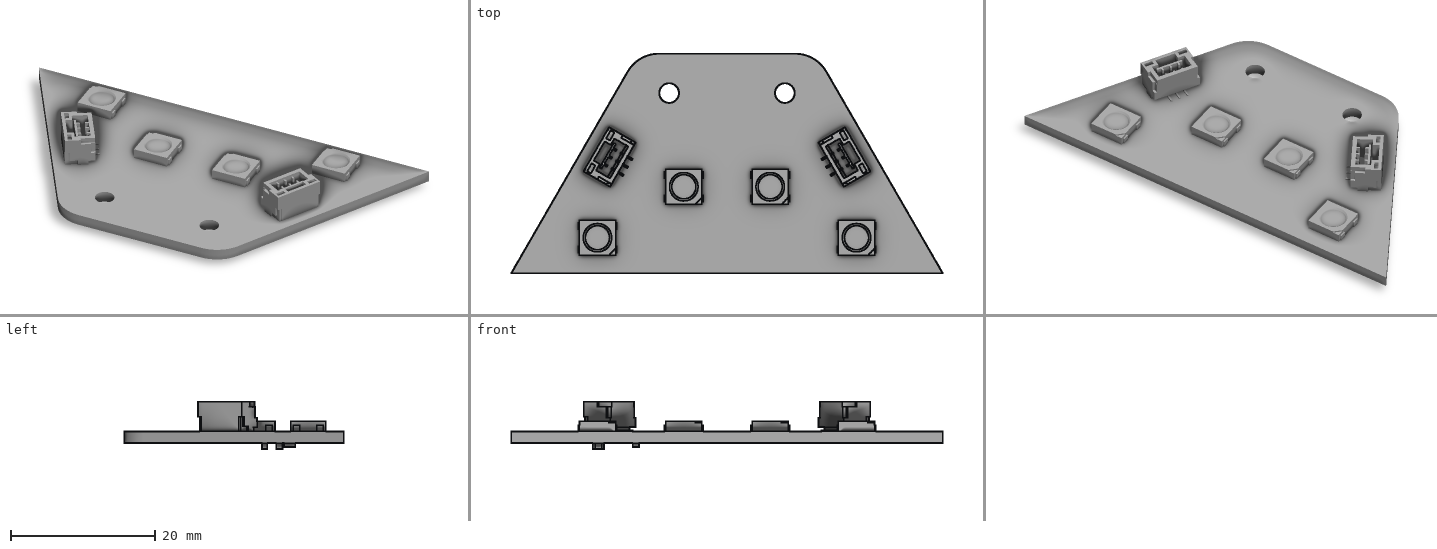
import cadquery as cq
import math

BOARD_WIDTH = 59.8
BOARD_DEPTH = 30.45
BOARD_THICKNESS = 1.6
BOARD_SIDE_ANGLE = 60.0
BOARD_CORNER_RADIUS = 5.0
BOARD_HOLE_DIAMETER = 2.7
BOARD_HOLE_X = 8.0
BOARD_HOLE_Y = 9.75

LED_LENGTH = 5.0
LED_WIDTH = 4.9
LED_HEIGHT = 1.45
LED_WINDOW_TOP_DIAMETER = 3.95
LED_WINDOW_FLOOR_DIAMETER = 3.35
LED_WINDOW_DEPTH = 0.25
LED_MARK_LEG = 0.95
LED_MARK_DEPTH = 0.21
LED_LEAD_SPAN = 5.4
LED_LEAD_WIDTH = 0.9
LED_LEAD_HEIGHT = 0.9
LED_LEAD_Y = 1.6
LED_OUTER_X = 17.95
LED_OUTER_Y = -10.3
LED_INNER_X = 6.0
LED_INNER_Y = -3.2
LED_PLACES = [
    (-LED_OUTER_X, LED_OUTER_Y),
    (-LED_INNER_X, LED_INNER_Y),
    (LED_INNER_X, LED_INNER_Y),
    (LED_OUTER_X, LED_OUTER_Y),
]

CONN_LENGTH = 7.05
CONN_DEPTH = 4.25
CONN_HEIGHT = 4.1
CONN_X = 16.25
CONN_Y = 0.9
CONN_FRONT = -CONN_DEPTH / 2
CONN_BACK = CONN_DEPTH / 2

FRONT_RELIEF_DEPTH = 0.95
FRONT_RELIEF_HEIGHT = 0.6

END_STEP_INSET = 0.4
END_STEP_LENGTH = 2.05
END_STEP_DROP = 0.7
CORNER_INSET = 0.35
CORNER_LENGTH = 0.6
CORNER_DROP = 2.2

TAB_RECESS_INSET = 0.55
TAB_INSET = 0.25
TAB_BACK_GAP = 0.05
TAB_POST_LENGTH = 0.65
TAB_POST_HEIGHT = 2.05
TAB_FOOT_LENGTH = 1.8
TAB_FOOT_HEIGHT = 0.7

CAVITY_FLOOR = 0.7
CAVITY_FRONT_WALL = 0.6
CAVITY_BACK_WALL = 0.5
CAVITY_WIDE_LENGTH = 5.1
CAVITY_WIDE_DEPTH = 2.2
CAVITY_NARROW_LENGTH = 3.05

TOP_POCKET_LENGTH = 1.25
TOP_POCKET_DEPTH = 0.6
TOP_POCKET_DROP = 0.6
TOP_POCKET_X = 2.65
TOP_POCKET_BACK_WALL = 0.4

CONTACT_PITCH = 1.25
CONTACT_WIDTH = 0.25
CONTACT_TOP = 3.75
RIB_LENGTH = 3.95
RIB_THICKNESS = 0.3
RIB_Y = 0.3
POST_DEPTH = 0.5
FRONT_POST_DEPTH = 0.5
LEAD_REACH = 0.8
LEAD_THICKNESS = 0.2

LONG_CHIP_SIZE = (1.6, 0.8, 0.85)
LONG_CHIP_PLACE = (-17.8, -4.25)
SHORT_CHIP_SIZE = (0.9, 0.9, 0.85)
SHORT_CHIP_PLACE = (-17.8, -6.3)
FLAT_CHIP_SIZE = (0.9, 1.55, 0.55)
FLAT_CHIP_PLACE = (-12.6, -7.7)


def block(x_min, x_max, y_min, y_max, z_min, z_max):
    """Box given by its limits along each axis."""
    size = (x_max - x_min, y_max - y_min, z_max - z_min)
    return cq.Workplane("XY").box(*size, centered=False).translate((x_min, y_min, z_min))


def both_ends(shape):
    """The shape together with its mirror image across the YZ plane."""
    return shape.union(shape.mirror("YZ"))


def make_board():
    """Trapezoidal board with rounded back corners and two mounting holes."""
    side_run = BOARD_DEPTH / math.tan(math.radians(BOARD_SIDE_ANGLE))
    front_x = BOARD_WIDTH / 2
    back_x = front_x - side_run
    half_depth = BOARD_DEPTH / 2
    outline = [
        (-front_x, -half_depth),
        (front_x, -half_depth),
        (back_x, half_depth),
        (-back_x, half_depth),
    ]
    board = cq.Workplane("XY").polyline(outline).close().extrude(BOARD_THICKNESS)
    board = board.edges("|Z and >Y").fillet(BOARD_CORNER_RADIUS)
    return (
        board.faces(">Z").workplane(origin=(0, 0, 0))
        .pushPoints([(-BOARD_HOLE_X, BOARD_HOLE_Y), (BOARD_HOLE_X, BOARD_HOLE_Y)])
        .hole(BOARD_HOLE_DIAMETER)
    )


def make_led(x, y):
    """LED package with a conical window, a corner mark and four side leads."""
    half_length = LED_LENGTH / 2
    half_width = LED_WIDTH / 2
    led = block(-half_length, half_length, -half_width, half_width, 0, LED_HEIGHT)

    window = (
        cq.Workplane("XY", origin=(0, 0, LED_HEIGHT - LED_WINDOW_DEPTH))
        .circle(LED_WINDOW_FLOOR_DIAMETER / 2)
        .workplane(offset=LED_WINDOW_DEPTH)
        .circle(LED_WINDOW_TOP_DIAMETER / 2)
        .loft()
    )
    corner_mark = (
        cq.Workplane("XY", origin=(half_length, -half_width, LED_HEIGHT - LED_MARK_DEPTH))
        .polyline([(0, 0), (0, LED_MARK_LEG), (-LED_MARK_LEG, 0)])
        .close()
        .extrude(LED_MARK_DEPTH)
    )
    led = led.cut(window).cut(corner_mark)

    for lead_y in (-LED_LEAD_Y, LED_LEAD_Y):
        lead = block(
            half_length, LED_LEAD_SPAN / 2,
            lead_y - LED_LEAD_WIDTH / 2, lead_y + LED_LEAD_WIDTH / 2,
            0, LED_LEAD_HEIGHT,
        )
        led = led.union(both_ends(lead))
    return led.translate((x, y, BOARD_THICKNESS))


def connector_shell():
    """Connector block with all its outside recesses."""
    end = CONN_LENGTH / 2
    shell = block(-end, end, CONN_FRONT, CONN_BACK, 0, CONN_HEIGHT)

    front_relief = block(
        -end, end, CONN_FRONT, CONN_FRONT + FRONT_RELIEF_DEPTH, 0, FRONT_RELIEF_HEIGHT
    )
    end_step = block(
        end - END_STEP_INSET, end,
        CONN_FRONT, CONN_FRONT + END_STEP_LENGTH,
        CONN_HEIGHT - END_STEP_DROP, CONN_HEIGHT,
    )
    corner_step = block(
        end - CORNER_INSET, end,
        CONN_FRONT, CONN_FRONT + CORNER_LENGTH,
        CONN_HEIGHT - CORNER_DROP, CONN_HEIGHT,
    )
    top_pocket = block(
        TOP_POCKET_X - TOP_POCKET_LENGTH / 2, TOP_POCKET_X + TOP_POCKET_LENGTH / 2,
        CONN_BACK - TOP_POCKET_BACK_WALL - TOP_POCKET_DEPTH, CONN_BACK - TOP_POCKET_BACK_WALL,
        CONN_HEIGHT - TOP_POCKET_DROP, CONN_HEIGHT,
    )
    shell = shell.cut(front_relief)
    for recess in (end_step, corner_step, top_pocket, tab_profile(TAB_RECESS_INSET, 0, 0)):
        shell = shell.cut(both_ends(recess))
    return shell.union(both_ends(tab_profile(TAB_RECESS_INSET, TAB_INSET, TAB_BACK_GAP)))


def tab_profile(inner_inset, outer_inset, back_gap):
    """L-shaped plate at the +X end: a post at the back and a low foot, between two insets."""
    end = CONN_LENGTH / 2
    x_limits = (end - inner_inset, end - outer_inset)
    y_back = CONN_BACK - back_gap
    post = block(*x_limits, CONN_BACK - TAB_POST_LENGTH, y_back, 0, TAB_POST_HEIGHT)
    foot = block(*x_limits, CONN_BACK - TAB_FOOT_LENGTH, y_back, 0, TAB_FOOT_HEIGHT)
    return post.union(foot)


def connector_cavity():
    """Stepped mating cavity open at the top."""
    wide_front = CONN_FRONT + CAVITY_FRONT_WALL
    wide_back = wide_front + CAVITY_WIDE_DEPTH
    wide = block(
        -CAVITY_WIDE_LENGTH / 2, CAVITY_WIDE_LENGTH / 2,
        wide_front, wide_back, CAVITY_FLOOR, CONN_HEIGHT,
    )
    narrow = block(
        -CAVITY_NARROW_LENGTH / 2, CAVITY_NARROW_LENGTH / 2,
        wide_back, CONN_BACK - CAVITY_BACK_WALL, CAVITY_FLOOR, CONN_HEIGHT,
    )
    return wide.union(narrow)


def connector_contacts():
    """Rib with contact posts, posts at the front wall, and the leads on the board."""
    contacts = block(
        -RIB_LENGTH / 2, RIB_LENGTH / 2,
        RIB_Y - RIB_THICKNESS / 2, RIB_Y + RIB_THICKNESS / 2,
        CAVITY_FLOOR, CONTACT_TOP,
    )
    post_back = RIB_Y - RIB_THICKNESS / 2
    front_wall = CONN_FRONT + CAVITY_FRONT_WALL
    for index in (-1, 0, 1):
        left = index * CONTACT_PITCH - CONTACT_WIDTH / 2
        right = left + CONTACT_WIDTH
        post = block(left, right, post_back - POST_DEPTH, post_back, CAVITY_FLOOR, CONTACT_TOP)
        front_post = block(
            left, right, front_wall, front_wall + FRONT_POST_DEPTH, CAVITY_FLOOR, CONTACT_TOP
        )
        lead = block(
            left, right, CONN_FRONT - LEAD_REACH, CONN_FRONT + FRONT_RELIEF_DEPTH, 0, LEAD_THICKNESS
        )
        contacts = contacts.union(post).union(front_post).union(lead)
    return contacts


def make_connector(side):
    """Connector along the left (side = -1) or right (side = 1) edge of the board."""
    connector = connector_shell().cut(connector_cavity()).union(connector_contacts())
    turned = connector.rotate((0, 0, 0), (0, 0, 1), -side * BOARD_SIDE_ANGLE)
    return turned.translate((side * CONN_X, CONN_Y, BOARD_THICKNESS))


def make_chip(size, place):
    """Plain block hanging below the board."""
    return cq.Workplane("XY").box(*size, centered=(True, True, False)).translate((*place, -size[2]))


board = make_board()
leds = [make_led(x, y) for x, y in LED_PLACES]
connectors = [make_connector(side) for side in (-1, 1)]
long_chip = make_chip(LONG_CHIP_SIZE, LONG_CHIP_PLACE)
short_chip = make_chip(SHORT_CHIP_SIZE, SHORT_CHIP_PLACE)
flat_chip = make_chip(FLAT_CHIP_SIZE, FLAT_CHIP_PLACE)

result = cq.Compound.makeCompound([
    board.val(),
    *[led.val() for led in leds],
    *[connector.val() for connector in connectors],
    long_chip.val(),
    short_chip.val(),
    flat_chip.val(),
])